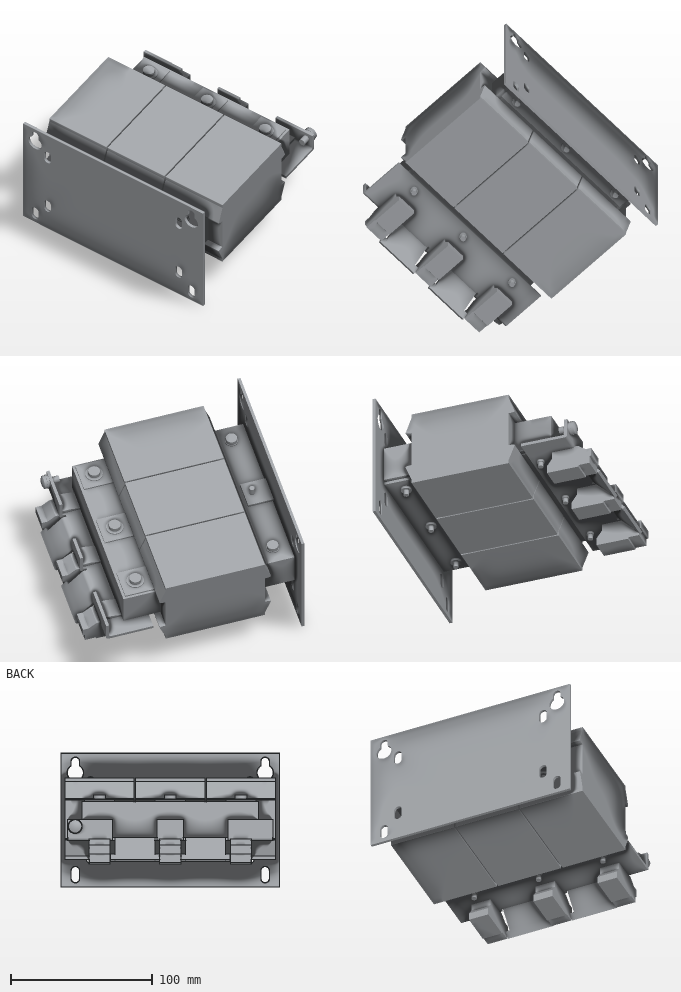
import cadquery as cq


pitch = 50.0
phases = (-pitch, 0, pitch)

plate_width = 155.0
plate_height = 95.0
plate_thick = 2.0
hole_x = 67.2
slot_width = 5.9
keyhole_round_dia = 11.5
keyhole_round_z = 33.5
keyhole_top_z = 44.5
outer_slot_length = 11.5
outer_slot_z = -38.6
inner_slot_x = 56.4
inner_slot_length = 11.0
inner_slot_z = 25.1

core_width = 124.8
core_top = 14.1
core_bottom = -12.2
core_start = 2.7
insulation_thick = 0.6
insulation_width = 117.5
insulation_bottom = core_bottom - insulation_thick
rear_yoke_top = 13.0
rear_yoke_end = 129.2
rear_yoke_bottom = -11.7

coil_width = 48.9
coil_start = 28.3
coil_end = 101.6
coil_mid_z = 1.0
coil_half_height = 28.9
wing_reach = 4.5
wing_flat = 2.2
wing_band = 2.7
wing_tip_clearance = 0.5
wing_tip_thick = 0.8

tab_end = 127.3
tab_width = 21.5

front_bolt_y = 15.1
strip_end = 21.0
top_strip_width = 19.7
top_strip_thick = 1.9
bottom_strip_width = 120.7
bottom_strip_thick = 2.0
stud_dia = 3.8
front_head_dia = 8.1
front_nut_dia = 7.8
front_washer_dia = 9.4
washer_thick = 0.8
head_top = 18.0
front_stud_top = 21.8
front_stud_bottom = -20.5
front_nut_thick = 1.7

rear_bolt_y = 116.7
rear_washer_dia = 12.4
rear_head_dia = 8.4
rear_nut_dia = 5.2
rear_nut_thick = 1.7
rear_stud_bottom = -19.8

bracket_width = 145.1
bracket_start = 110.2
bracket_end = 145.1
bracket_top = rear_yoke_bottom - insulation_thick
sheet = 2.2
bracket_bottom = bracket_top - sheet
flange_top = 0.5
outer_bend_radius = 1.9
inner_bend_radius = 1.3
notch_width = 31.6
notch_start = 140.5

tongue_width = 28.3
tongue_bend_radius = 2.9
hook_width = 34.8
hook_length = 3.8
hook_tip_y = 158.8
tongue_fall = 15.4

terminal_width = 15.0
terminal_front = 124.2
terminal_neck_front = 128.1
terminal_end = 157.7
terminal_nose_relief = 1.5
terminal_bottom = -31.1
terminal_top = -13.5
foot_top = -25.4
neck_bottom = -19.8
nose_top = -17.6
nose_bottom = -24.1
nose_ledge_start = 153.4
terminal_top_end = 147.5
sole_end = 147.8
sole_step = 1.3
sole_slant = 0.5
cap_top = -9.7
cap_low_top = -11.1
cap_slope_start = 136.7

screw_x = 67.3
screw_z = -4.5
screw_shank_dia = 5.0
screw_shank_end = 137.5
lock_washer_dia = 9.4
lock_washer_thick = 1.1
flat_washer_dia = 10.0
screw_head_dia = 9.5
screw_head_end = 150.7
screw_dome_height = 1.5


def block(width, y_range, z_range, x=0):
    """Box centred on x, spanning the given Y and Z ranges."""
    y0, y1 = y_range
    z0, z1 = z_range
    return cq.Workplane("XY").box(width, y1 - y0, z1 - z0).translate((x, (y0 + y1) / 2, (z0 + z1) / 2))


def prism(points, width, x=0):
    """Closed (y, z) outline extruded along X, centred on x."""
    return cq.Workplane("YZ").polyline(points).close().extrude(width / 2, both=True).translate((x, 0, 0))


def pin(dia, x, y, z0, z1):
    """Cylinder along Z."""
    return cq.Workplane("XY", origin=(x, y, z0)).circle(dia / 2).extrude(z1 - z0)


def screw_disc(dia, y0, y1):
    """Cylinder along Y on the earth screw axis."""
    return cq.Workplane("XZ", origin=(screw_x, y0, screw_z)).circle(dia / 2).extrude(y0 - y1)


def plate_slot(x, z, length):
    """Upright slot cutter through the mounting plate."""
    return (
        cq.Workplane("XZ", origin=(x, 0, z))
        .slot2D(length, slot_width, 90)
        .extrude(-plate_thick)
    )


def mounting_plate():
    """Flat plate with two keyholes, two lower slots and four inner slots."""
    plate = block(plate_width, (0, plate_thick), (-plate_height / 2, plate_height / 2))
    neck_length = keyhole_top_z - keyhole_round_z + slot_width / 2
    neck_z = keyhole_top_z - neck_length / 2
    for side in (-1, 1):
        x = side * hole_x
        keyhole_round = (
            cq.Workplane("XZ", origin=(x, 0, keyhole_round_z))
            .circle(keyhole_round_dia / 2)
            .extrude(-plate_thick)
        )
        plate = plate.cut(keyhole_round).cut(plate_slot(x, neck_z, neck_length))
        plate = plate.cut(plate_slot(x, outer_slot_z, outer_slot_length))
        for level in (-1, 1):
            plate = plate.cut(plate_slot(side * inner_slot_x, level * inner_slot_z, inner_slot_length))
    return plate


def core():
    """Front and rear yokes with their insulation pads."""
    front_yoke = block(core_width, (core_start, coil_start), (core_bottom, core_top))
    rear_yoke = block(core_width, (coil_end, rear_yoke_end), (rear_yoke_bottom, rear_yoke_top))
    front_pad = block(insulation_width, (core_start, coil_start), (insulation_bottom, core_bottom))
    rear_pad = block(insulation_width, (coil_end, rear_yoke_end), (bracket_top, rear_yoke_bottom))
    return front_yoke.union(rear_yoke).union(front_pad).union(rear_pad)


def coil(x):
    """Coil block with four wings flaring over the yokes."""
    body = block(
        coil_width,
        (coil_start, coil_end),
        (coil_mid_z - coil_half_height, coil_mid_z + coil_half_height),
        x,
    )
    for face_y, outward in ((coil_start, -1), (coil_end, 1)):
        for root_z, up in ((insulation_bottom, -1), (core_top, 1)):
            tip_y = face_y + outward * wing_reach
            tip_z = root_z + up * wing_tip_clearance
            band_z = coil_mid_z + up * (coil_half_height - wing_band)
            wing = [
                (face_y, root_z),
                (face_y + outward * wing_flat, root_z),
                (tip_y, tip_z),
                (tip_y, tip_z + up * wing_tip_thick),
                (face_y, band_z),
            ]
            body = body.union(prism(wing, coil_width, x))
    return body


def insulating_tab(x):
    """Thin pad on top of the rear yoke."""
    return block(tab_width, (coil_end, tab_end), (rear_yoke_top, core_top), x)


def front_fasteners():
    """Clamping strips, two headed side bolts and a plain central stud."""
    strip_bottom = insulation_bottom - bottom_strip_thick
    strip_span = (plate_thick, strip_end)
    top_strip = block(top_strip_width, strip_span, (core_top, core_top + top_strip_thick))
    bottom_strip = block(bottom_strip_width, strip_span, (strip_bottom, insulation_bottom))
    parts = top_strip.union(bottom_strip)
    for x in phases:
        parts = parts.union(pin(stud_dia, x, front_bolt_y, front_stud_bottom, strip_bottom))
        parts = parts.union(pin(front_nut_dia, x, front_bolt_y, strip_bottom - front_nut_thick, strip_bottom))
        if x == 0:
            parts = parts.union(pin(stud_dia, x, front_bolt_y, core_top, front_stud_top))
        else:
            parts = parts.union(pin(front_washer_dia, x, front_bolt_y, core_top, core_top + washer_thick))
            parts = parts.union(pin(front_head_dia, x, front_bolt_y, core_top, head_top))
    return parts


def rear_bolt(x):
    """Bolt clamping the bracket to the rear yoke; only the exposed ends are modelled."""
    washer = pin(rear_washer_dia, x, rear_bolt_y, core_top, core_top + washer_thick)
    head = pin(rear_head_dia, x, rear_bolt_y, core_top, head_top)
    nut = pin(rear_nut_dia, x, rear_bolt_y, bracket_bottom - rear_nut_thick, bracket_bottom)
    stud = pin(stud_dia, x, rear_bolt_y, rear_stud_bottom, bracket_bottom)
    return washer.union(head).union(nut).union(stud)


def tongue(x):
    """45 degree tongue ending in a wider hook."""
    fall_start = hook_tip_y - tongue_fall
    hook_tip_z = bracket_top - tongue_fall
    skew = sheet / 2 ** 0.5
    slope = [
        (notch_start, bracket_top),
        (fall_start, bracket_top),
        (hook_tip_y, hook_tip_z),
        (hook_tip_y - skew, hook_tip_z - skew),
        (fall_start - skew, bracket_bottom),
        (notch_start, bracket_bottom),
    ]
    hook = [
        (hook_tip_y, hook_tip_z),
        (hook_tip_y - skew, hook_tip_z - skew),
        (hook_tip_y - hook_length - skew, hook_tip_z + hook_length - skew),
        (hook_tip_y - hook_length, hook_tip_z + hook_length),
    ]
    sheet_slope = prism(slope, tongue_width, x)
    bend_edge = cq.selectors.NearestToPointSelector((x, fall_start, bracket_top))
    sheet_slope = sheet_slope.edges(bend_edge).fillet(tongue_bend_radius)
    return sheet_slope.union(prism(hook, hook_width, x))


def bracket():
    """Angle with two notches, each holding a tongue."""
    base = block(bracket_width, (bracket_start, bracket_end), (bracket_bottom, bracket_top))
    flange = block(bracket_width, (bracket_end - sheet, bracket_end), (bracket_bottom, flange_top))
    angle = base.union(flange)
    angle = angle.edges("|X and >Y and <Z").fillet(outer_bend_radius)
    inner_corner = cq.selectors.NearestToPointSelector((0, bracket_end - sheet, bracket_top))
    angle = angle.edges(inner_corner).fillet(inner_bend_radius)
    for x in (-pitch / 2, pitch / 2):
        angle = angle.cut(block(notch_width, (notch_start, bracket_end), (bracket_bottom, flange_top), x))
        angle = angle.union(tongue(x))
    return angle


def terminal(x):
    """Terminal block hanging under the bracket, with a low cap above it."""
    heel_end = terminal_end - terminal_nose_relief
    flange_face = bracket_end - sheet
    body = [
        (terminal_end, nose_top),
        (nose_ledge_start, nose_top),
        (terminal_top_end, terminal_top),
        (terminal_neck_front, terminal_top),
        (terminal_neck_front, neck_bottom),
        (terminal_front, foot_top),
        (terminal_front, terminal_bottom),
        (sole_end, terminal_bottom),
        (sole_end + sole_slant, terminal_bottom + sole_step),
        (heel_end, terminal_bottom + sole_step),
        (heel_end, nose_bottom),
        (terminal_end, nose_bottom),
    ]
    cap = [
        (flange_face, bracket_top),
        (flange_face, cap_top),
        (cap_slope_start, cap_top),
        (rear_yoke_end, cap_low_top),
        (rear_yoke_end, bracket_top),
    ]
    return prism(body, terminal_width, x).union(prism(cap, terminal_width, x))


def earth_screw():
    """Domed screw with two washers, passing along Y through the flange."""
    lock_washer_end = bracket_end + lock_washer_thick
    flat_washer_end = lock_washer_end + washer_thick
    shank = screw_disc(screw_shank_dia, screw_shank_end, bracket_end)
    lock_washer = screw_disc(lock_washer_dia, bracket_end, lock_washer_end)
    flat_washer = screw_disc(flat_washer_dia, lock_washer_end, flat_washer_end)
    rim_y = screw_head_end - screw_dome_height
    head = screw_disc(screw_head_dia, flat_washer_end, rim_y)
    rim_radius = screw_head_dia / 2
    dome_radius = (rim_radius ** 2 + screw_dome_height ** 2) / (2 * screw_dome_height)
    ball = cq.Workplane("XY").sphere(dome_radius).translate((screw_x, screw_head_end - dome_radius, screw_z))
    dome = ball.intersect(screw_disc(screw_head_dia, rim_y, screw_head_end))
    head = head.union(dome)
    return shank.union(lock_washer).union(flat_washer).union(head)


result = mounting_plate().union(core()).union(front_fasteners()).union(bracket()).union(earth_screw())
for phase_x in phases:
    for feature in (coil, insulating_tab, rear_bolt, terminal):
        result = result.union(feature(phase_x))